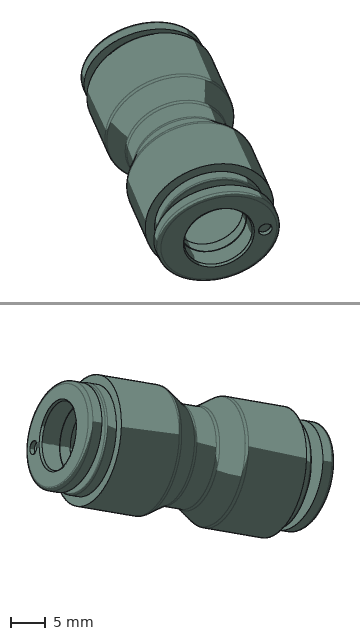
import cadquery as cq
import math

OVERALL_LENGTH = 41.0
END_X = OVERALL_LENGTH / 2

FLANGE_WIDTH = 18.4
FLANGE_HEIGHT = 16.0
FLANGE_THICKNESS = 2.0
FLANGE_ROUND = 0.5
NECK_DIAMETER = 11.7
NECK_LENGTH = 1.27
MOUTH_DIAMETER = 10.65
MOUTH_DEPTH = 0.35
BORE_FRONT_DIAMETER = 10.2
BORE_BACK_DIAMETER = 10.15
DIMPLE_DIAMETER = 2.0
DIMPLE_OFFSET = 6.95
DIMPLE_DEPTH = 0.75

COLLAR_DIAMETER = 16.5
COLLAR_LENGTH = 1.72
COLLAR_ROUND = 0.25

HOUSING_DIAMETER = 19.3
WAIST_DIAMETER = 15.1
WAIST_HALF_LENGTH = 1.9
CONE_ANGLE = 30.0
WAIST_ROUND = 1.0
SOCKET_DIAMETER = 10.0
THROUGH_DIAMETER = 8.0
STOP_HALF_LENGTH = WAIST_HALF_LENGTH

COLLAR_FACE_X = END_X - FLANGE_THICKNESS - NECK_LENGTH
HOUSING_FACE_X = COLLAR_FACE_X - COLLAR_LENGTH


def cylinder(start_x, length, diameter):
    """Round bar along +X from start_x."""
    return cq.Workplane("YZ", origin=(start_x, 0, 0)).circle(diameter / 2).extrude(length)


def make_housing():
    outer_radius = HOUSING_DIAMETER / 2
    waist_radius = WAIST_DIAMETER / 2
    cone_length = (outer_radius - waist_radius) / math.tan(math.radians(CONE_ANGLE))
    shoulder_x = WAIST_HALF_LENGTH + cone_length

    profile = [
        (-HOUSING_FACE_X, 0),
        (-HOUSING_FACE_X, outer_radius),
        (-shoulder_x, outer_radius),
        (-WAIST_HALF_LENGTH, waist_radius),
        (WAIST_HALF_LENGTH, waist_radius),
        (shoulder_x, outer_radius),
        (HOUSING_FACE_X, outer_radius),
        (HOUSING_FACE_X, 0),
    ]
    body = cq.Workplane("XY").polyline(profile).close().revolve(360, (0, 0, 0), (1, 0, 0))

    box_half_length = (shoulder_x + HOUSING_FACE_X) / 2
    waist_box = cq.selectors.BoxSelector(
        (-box_half_length, -outer_radius, -outer_radius),
        (box_half_length, outer_radius, outer_radius),
    )
    body = body.edges("%CIRCLE").edges(waist_box).fillet(WAIST_ROUND)

    body = body.cut(cylinder(-HOUSING_FACE_X, 2 * HOUSING_FACE_X, THROUGH_DIAMETER))
    socket_depth = HOUSING_FACE_X - STOP_HALF_LENGTH
    for socket_start in (-HOUSING_FACE_X, STOP_HALF_LENGTH):
        body = body.cut(cylinder(socket_start, socket_depth, SOCKET_DIAMETER))
    return body


def make_collar():
    """Collar of the +X end."""
    ring = cylinder(HOUSING_FACE_X, COLLAR_LENGTH, COLLAR_DIAMETER)
    ring = ring.faces(">X").edges().fillet(COLLAR_ROUND)
    return ring.cut(cylinder(HOUSING_FACE_X, COLLAR_LENGTH, SOCKET_DIAMETER))


def make_sleeve():
    """Release sleeve of the +X end."""
    flange_back_x = END_X - FLANGE_THICKNESS
    flange = (
        cq.Workplane("YZ", origin=(flange_back_x, 0, 0))
        .ellipse(FLANGE_WIDTH / 2, FLANGE_HEIGHT / 2)
        .extrude(FLANGE_THICKNESS)
        .faces(">X").edges().fillet(FLANGE_ROUND)
    )
    neck = cylinder(COLLAR_FACE_X, NECK_LENGTH, NECK_DIAMETER)

    bore_profile = [
        (COLLAR_FACE_X, 0),
        (COLLAR_FACE_X, BORE_BACK_DIAMETER / 2),
        (END_X - MOUTH_DEPTH, BORE_FRONT_DIAMETER / 2),
        (END_X, MOUTH_DIAMETER / 2),
        (END_X, 0),
    ]
    bore = cq.Workplane("XY").polyline(bore_profile).close().revolve(360, (0, 0, 0), (1, 0, 0))

    dimple = cylinder(END_X - DIMPLE_DEPTH, DIMPLE_DEPTH, DIMPLE_DIAMETER)
    return flange.union(neck).cut(bore).cut(dimple.translate((0, DIMPLE_OFFSET, 0)))


def at_both_ends(body):
    """The +X body and its mirror image at the -X end."""
    return [body.val(), body.mirror("YZ").val()]


housing = make_housing()
collars = at_both_ends(make_collar())
sleeves = at_both_ends(make_sleeve())

result = cq.Compound.makeCompound([housing.val(), *collars, *sleeves])